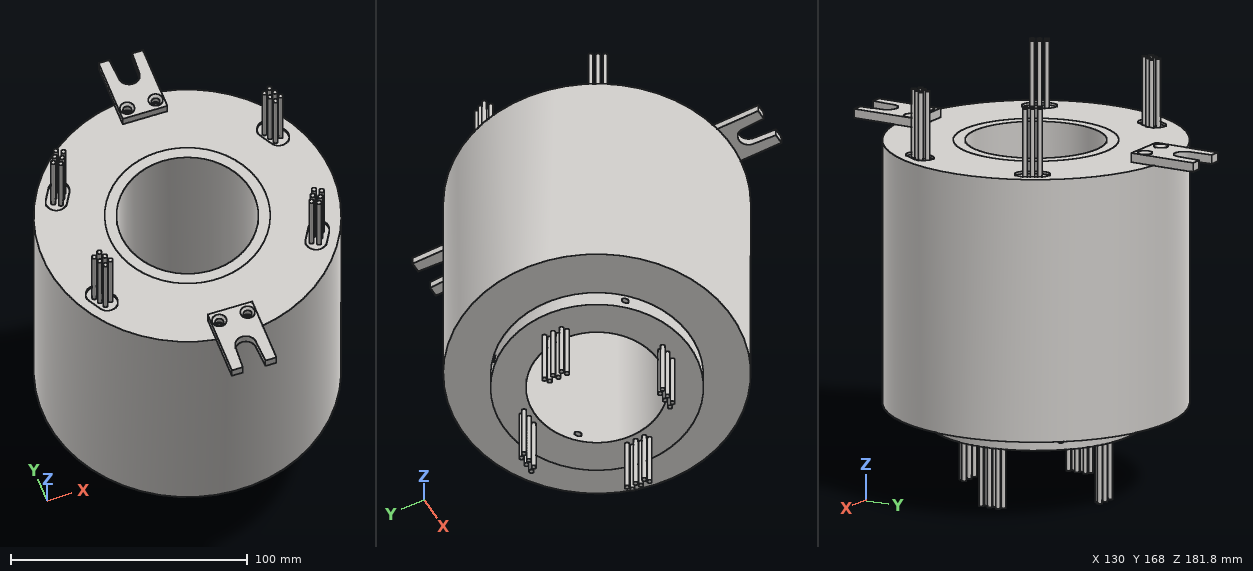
import cadquery as cq
import math


total_height = 181.8
wire_length = 28.9
collar_height = 8.0
neck_height = 1.0
collar_bottom = wire_length
collar_top = collar_bottom + collar_height
stator_bottom = collar_top + neck_height
stator_top = total_height - wire_length

stator_diameter = 130.0
cover_diameter = 125.0
cover_thickness = 9.0

bore_diameter = 60.0
sleeve_diameter = 70.0
neck_diameter = 80.0
collar_diameter = 90.0
set_screw_diameter = 3.0
set_screw_angles = [45, 135, 225, 315]
set_screw_rise = 4.5

bracket_angles = [0, 180]
bracket_width = 20.0
bracket_length = 30.5
bracket_thickness = 4.0
bracket_span = 168.0
bracket_outer_end = bracket_span / 2
bracket_inner_end = bracket_outer_end - bracket_length
fork_mouth_width = 10.2
fork_bottom_radius = 4.5
fork_depth = 14.9
screw_spacing = 12.7
screw_inset = 4.5
screw_head_diameter = 6.2
clearance_diameter = 3.6
tapped_diameter = 2.2
tapped_depth = 3.6
drill_tip_angle = 118
countersink_angle = 90

wire_diameter = 2.0
wires_per_row = 3

outlet_radius = 55.8
outlet_angles = [30, 150, 210, 330]
outlet_length = 15.0
outlet_width = 9.0
outlet_depth = 1.0
stator_wire_pitch = 3.0
stator_row_radii = [53.8, 57.0]
stator_row_shifts = [0, 0]

rotor_bundle_angles = [0, 90, 180, 270]
rotor_wire_pitch = 4.2
rotor_row_radii = [33.0, 35.0]
rotor_row_shifts = [0, -1.5]


def cylinder(diameter, bottom, top):
    return cq.Workplane("XY", origin=(0, 0, bottom)).circle(diameter / 2).extrude(top - bottom)


def turned(shape, angle):
    return shape.rotate((0, 0, 0), (0, 0, 1), angle)


def wire_bundle(row_radii, row_shifts, pitch, bottom, top):
    """Parallel wires on the +X side, in rows that run along Y."""
    centres = []
    for radius, shift in zip(row_radii, row_shifts):
        for index in range(wires_per_row):
            centres.append((radius, shift + (index - (wires_per_row - 1) / 2) * pitch))
    wires = cq.Workplane("XY", origin=(0, 0, bottom)).pushPoints(centres)
    return wires.circle(wire_diameter / 2).extrude(top - bottom)


def bracket():
    """Plate on the +Y side, with a fork that widens towards its outer end."""
    plate = cq.Workplane("XY").box(
        bracket_width, bracket_length, bracket_thickness, centered=(True, False, False)
    ).translate((0, bracket_inner_end, stator_top))
    half_mouth = fork_mouth_width / 2
    fork_bottom = bracket_outer_end - fork_depth
    arc_centre = fork_bottom + fork_bottom_radius
    fork = (
        cq.Workplane("XY", origin=(0, 0, stator_top))
        .moveTo(-half_mouth, bracket_outer_end)
        .lineTo(-fork_bottom_radius, arc_centre)
        .threePointArc((0, fork_bottom), (fork_bottom_radius, arc_centre))
        .lineTo(half_mouth, bracket_outer_end)
        .close()
        .extrude(bracket_thickness)
    )
    return plate.cut(fork)


def screw_hole():
    """Countersunk hole through a bracket on the +Y side and the tapped hole below it, centred in X."""
    head_radius = screw_head_diameter / 2
    clearance_radius = clearance_diameter / 2
    tapped_radius = tapped_diameter / 2
    head_depth = (head_radius - clearance_radius) / math.tan(math.radians(countersink_angle / 2))
    tip_depth = tapped_radius / math.tan(math.radians(drill_tip_angle / 2))
    return (
        cq.Workplane("XZ")
        .moveTo(0, bracket_thickness)
        .lineTo(head_radius, bracket_thickness)
        .lineTo(clearance_radius, bracket_thickness - head_depth)
        .lineTo(clearance_radius, 0)
        .lineTo(tapped_radius, 0)
        .lineTo(tapped_radius, -tapped_depth)
        .lineTo(0, -tapped_depth - tip_depth)
        .close()
        .revolve(360, (0, 0, 0), (0, 1, 0))
        .translate((0, bracket_inner_end + screw_inset, stator_top))
    )


def end_cover():
    """Stator end cover with its wire outlets, wires and screwed-on brackets."""
    cover = cylinder(cover_diameter, stator_top - cover_thickness, stator_top)
    outlet = (
        cq.Workplane("XY", origin=(outlet_radius, 0, stator_top - outlet_depth))
        .slot2D(outlet_length, outlet_width, 90)
        .extrude(outlet_depth)
    )
    wires = wire_bundle(
        stator_row_radii, stator_row_shifts, stator_wire_pitch, stator_top - outlet_depth, total_height
    )
    for angle in outlet_angles:
        cover = cover.cut(turned(outlet, angle)).union(turned(wires, angle))
    for angle in bracket_angles:
        cover = cover.union(turned(bracket(), angle))
        for side in (-1, 1):
            hole = screw_hole().translate((side * screw_spacing / 2, 0, 0))
            cover = cover.cut(turned(hole, angle))
    return cover


def make_stator():
    shell = cylinder(stator_diameter, stator_bottom, stator_top)
    shell = shell.cut(cylinder(cover_diameter, stator_top - cover_thickness, stator_top))
    rotor_opening = cylinder(sleeve_diameter, stator_bottom, stator_top)
    return shell.cut(rotor_opening).union(end_cover().cut(rotor_opening), clean=False)


def make_rotor():
    rotor = cylinder(sleeve_diameter, collar_bottom, stator_top)
    rotor = rotor.union(cylinder(neck_diameter, collar_bottom, stator_bottom))
    rotor = rotor.union(cylinder(collar_diameter, collar_bottom, collar_top))
    rotor = rotor.cut(cylinder(bore_diameter, collar_bottom, stator_top))
    set_screw_hole = (
        cq.Workplane("YZ", origin=(0, 0, collar_bottom + set_screw_rise))
        .circle(set_screw_diameter / 2)
        .extrude(collar_diameter / 2)
    )
    for angle in set_screw_angles:
        rotor = rotor.cut(turned(set_screw_hole, angle))
    wires = wire_bundle(rotor_row_radii, rotor_row_shifts, rotor_wire_pitch, 0, collar_bottom)
    for angle in rotor_bundle_angles:
        rotor = rotor.union(turned(wires, angle))
    return rotor


stator = make_stator()
rotor = make_rotor()

result = cq.Compound.makeCompound([stator.val(), rotor.val()])